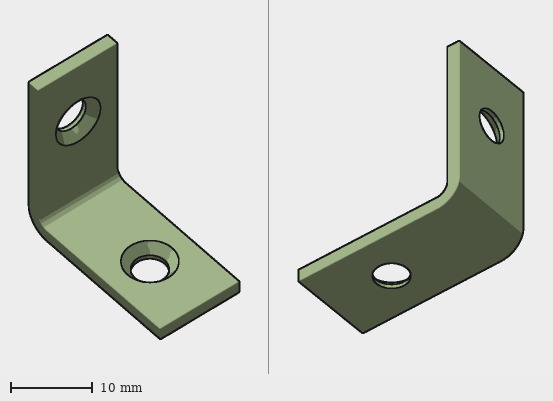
import cadquery as cq

leg_length = 25.4
width = 12.7
thickness = 2.0
bend_outer_radius = 3.55
bend_inner_radius = bend_outer_radius - thickness
edge_radius = 0.18

hole_position = 15.75
hole_diameter = 4.72
countersink_diameter = 7.1
countersink_angle = 82.0


def angle_bracket():
    """Bent strip with the outer corner of its legs at the origin."""
    strip = (
        cq.Workplane("XZ")
        .polyline([
            (0, 0),
            (leg_length, 0),
            (leg_length, thickness),
            (thickness, thickness),
            (thickness, leg_length),
            (0, leg_length),
        ])
        .close()
        .extrude(width / 2, both=True)
    )
    strip = strip.edges(cq.selectors.NearestToPointSelector((0, 0, 0))).fillet(bend_outer_radius)
    inner_corner = cq.selectors.NearestToPointSelector((thickness, 0, thickness))
    return strip.edges("|Y").edges(inner_corner).fillet(bend_inner_radius)


def drill_countersunk(body, plane):
    """Drill from the inner face of a leg, with the plane origin at the hole centre."""
    return body.copyWorkplane(cq.Workplane(plane)).cskHole(
        hole_diameter, countersink_diameter, countersink_angle
    )


inner_face_of_base = cq.Plane(
    origin=(hole_position, 0, thickness), xDir=(1, 0, 0), normal=(0, 0, 1)
)
inner_face_of_upright = cq.Plane(
    origin=(thickness, 0, hole_position), xDir=(0, 1, 0), normal=(1, 0, 0)
)

result = angle_bracket()
result = result.faces("<Y or >Y or >X or >Z").edges().fillet(edge_radius)
for inner_face in (inner_face_of_base, inner_face_of_upright):
    result = drill_countersunk(result, inner_face)